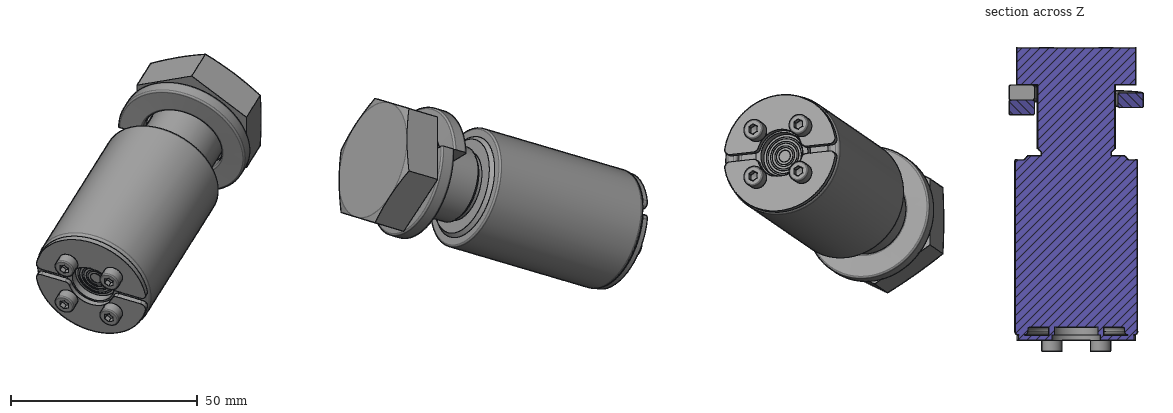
import cadquery as cq
import math

AXIS_FRAME = cq.Plane(origin=(0, 0, 0), xDir=(-1, 0, 0), normal=(0, -1, 0))

HEAD_HEIGHT = 10.0
HEAD_ACROSS_FLATS = 31.95
HEAD_ACROSS_CORNERS = HEAD_ACROSS_FLATS / math.cos(math.pi / 6)
HEAD_CORNER_DROP = 0.65

SHANK_END = 16.95
BEVEL = 1.0
NECK_START = SHANK_END + BEVEL
COLLAR_START = NECK_START + BEVEL
SLEEVE_START = 20.0
SLEEVE_END = 67.0
PLATE_END = 68.5
TIP_END = 81.5 - HEAD_HEIGHT

SHANK_DIAMETER = 20.95
NECK_DIAMETER = 19.0
COLLAR_DIAMETER = 27.95
SLEEVE_DIAMETER = 33.0
SLEEVE_HEAD_SIDE_FILLET = 0.5
SLEEVE_END_FILLET = 1.0

RECESS_DIAMETER = 26.0
RECESS_DEPTH = 2.0
RECESS_RIM_FILLET = 1.0
RECESS_FLOOR_FILLET = 0.5
RIDGE_COUNT = 4
RIDGE_OUTER_RADIUS = 6.0
RIDGE_PITCH = 1.2
GROOVE_WIDTH = 0.7
GROOVE_DEPTH = 0.1

PLATE_DIAMETER = 32.3
PLATE_HOLE_DIAMETER = 13.0
PLATE_COLLAR_DIAMETER = 15.0
PLATE_COLLAR_BORE = 2 * RIDGE_OUTER_RADIUS
SLOT_WIDTH = 2.0
SLOT_CORNER_RADIUS = 1.5

SCREW_DIAMETER = 5.5
SCREW_OFFSET = 6.5
SCREW_EDGE_FILLET = 0.3
SOCKET_ACROSS_FLATS = 2.45
SOCKET_ACROSS_CORNERS = SOCKET_ACROSS_FLATS / math.cos(math.pi / 6)
SOCKET_DEPTH = 1.5
SOCKET_CONE_DEPTH = 0.8

WASHER_OUTER_RADIUS = 18.0
WASHER_INNER_RADIUS = 11.25
WASHER_THICKNESS = 4.0
WASHER_PITCH = 4.1
WASHER_EDGE_FILLET = 0.5


def cylinder(diameter, start, end):
    return cq.Workplane("XY").workplane(offset=start).circle(diameter / 2).extrude(end - start)


def cone(start_diameter, start, end_diameter, end):
    frustum = cq.Solid.makeCone(start_diameter / 2, end_diameter / 2, end - start)
    return cq.Workplane(frustum.moved(cq.Location(cq.Vector(0, 0, start))))


def hexagon(across_corners, start, end):
    """Hexagonal prism with two of its corners on the local Y axis."""
    prism = cq.Workplane("XY").workplane(offset=start).polygon(6, across_corners).extrude(end - start)
    return prism.rotate((0, 0, 0), (0, 0, 1), 90)


def make_head():
    head = hexagon(HEAD_ACROSS_CORNERS, -HEAD_HEIGHT, 0)
    drop_end = HEAD_CORNER_DROP - HEAD_HEIGHT
    crown = cone(HEAD_ACROSS_FLATS, -HEAD_HEIGHT, HEAD_ACROSS_CORNERS, drop_end)
    return head.intersect(crown.union(cylinder(HEAD_ACROSS_CORNERS, drop_end, 0)))


def make_shank():
    shank = cylinder(SHANK_DIAMETER, 0, SHANK_END)
    bevel = cone(SHANK_DIAMETER, SHANK_END, NECK_DIAMETER, NECK_START)
    neck = cylinder(NECK_DIAMETER, NECK_START, COLLAR_START)
    collar = cone(COLLAR_DIAMETER - 2 * BEVEL, COLLAR_START, COLLAR_DIAMETER, SLEEVE_START)
    return shank.union(bevel).union(neck).union(collar)


def make_recess():
    """Filleted recess, plus the ring grooves between the ridges of its floor."""
    floor = SLEEVE_END - RECESS_DEPTH
    recess = cylinder(RECESS_DIAMETER, floor, SLEEVE_END).faces("<Z").edges().fillet(RECESS_FLOOR_FILLET)
    for index in range(RIDGE_COUNT):
        outer = RIDGE_OUTER_RADIUS - index * RIDGE_PITCH
        groove = cq.Workplane("XY").workplane(offset=floor).circle(outer).circle(outer - GROOVE_WIDTH)
        recess = recess.union(groove.extrude(-GROOVE_DEPTH))
    return recess


def make_sleeve():
    sleeve = cylinder(SLEEVE_DIAMETER, SLEEVE_START, SLEEVE_END)
    sleeve = sleeve.faces("<Z").edges().fillet(SLEEVE_HEAD_SIDE_FILLET)
    sleeve = sleeve.faces(">Z").edges().fillet(SLEEVE_END_FILLET)
    return sleeve.cut(make_recess()).faces(">Z").edges("%CIRCLE").edges(
        cq.selectors.RadiusNthSelector(0)
    ).fillet(RECESS_RIM_FILLET)


def make_plate():
    plate = cylinder(PLATE_DIAMETER, SLEEVE_END, PLATE_END)
    plate = plate.cut(cylinder(PLATE_HOLE_DIAMETER, SLEEVE_END, PLATE_END))
    slot = cq.Workplane("XY").box(PLATE_DIAMETER, SLOT_WIDTH, 2 * TIP_END)
    plate = plate.cut(slot).edges("|Z").fillet(SLOT_CORNER_RADIUS)
    floor = SLEEVE_END - RECESS_DEPTH
    collar = cylinder(PLATE_COLLAR_DIAMETER, floor, SLEEVE_END)
    collar = collar.cut(cylinder(PLATE_COLLAR_BORE, floor, SLEEVE_END))
    return plate.union(collar)


def make_screw():
    screw = cylinder(SCREW_DIAMETER, PLATE_END, TIP_END).faces(">Z").edges().fillet(SCREW_EDGE_FILLET)
    socket_floor = TIP_END - SOCKET_DEPTH
    apex = socket_floor - SOCKET_CONE_DEPTH
    socket = hexagon(SOCKET_ACROSS_CORNERS, apex, TIP_END)
    pocket = cylinder(SOCKET_ACROSS_CORNERS, socket_floor, TIP_END)
    pocket = pocket.union(cone(0, apex, SOCKET_ACROSS_CORNERS, socket_floor))
    return screw.cut(socket.intersect(pocket))


def make_bolt():
    bolt = make_head().union(make_shank()).union(make_sleeve()).union(make_plate())
    for x in (-SCREW_OFFSET, SCREW_OFFSET):
        for y in (-SCREW_OFFSET, SCREW_OFFSET):
            bolt = bolt.union(make_screw().translate((x, y, 0)))
    return bolt.val()


def make_spring_washer():
    """One turn of a rectangular section with rounded corners, swept along a helix."""
    mean_radius = (WASHER_INNER_RADIUS + WASHER_OUTER_RADIUS) / 2
    section = (
        cq.Sketch()
        .push([(mean_radius, WASHER_THICKNESS / 2)])
        .rect(WASHER_OUTER_RADIUS - WASHER_INNER_RADIUS, WASHER_THICKNESS)
        .reset()
        .vertices()
        .fillet(WASHER_EDGE_FILLET)
    )
    helix = cq.Wire.makeHelix(WASHER_PITCH, WASHER_PITCH, mean_radius)
    return cq.Workplane("XZ").placeSketch(section).sweep(cq.Workplane(helix), isFrenet=True).val()


bolt = make_bolt()
spring_washer = make_spring_washer()

result = cq.Compound.makeCompound([body.moved(AXIS_FRAME.location) for body in (bolt, spring_washer)])